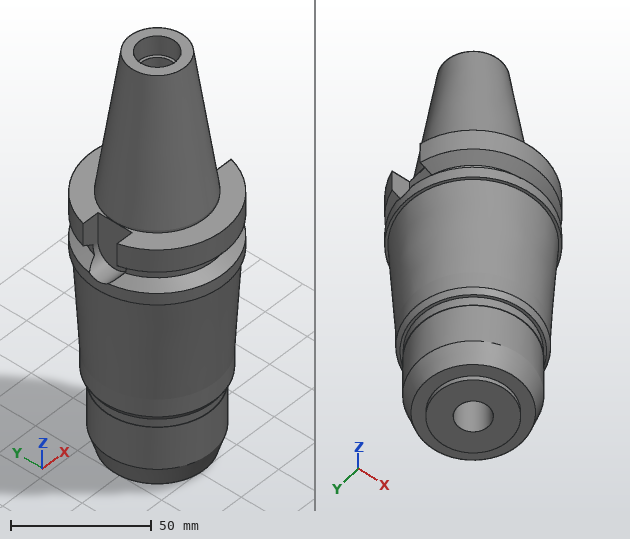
import cadquery as cq

total_height = 187.4
nose_lip_top = 2.2
nose_taper_top = 11.8
neck_bottom = 31.7
body_chamfer_bottom = 36.4
body_chamfer_top = 38.8
body_cone_bottom = 46.8
rim_bottom = 95.2
rim_top = 100.6
groove_bottom = 103.6
groove_top = 107.8
flange_bottom = 110.8
flange_top = 121.2
taper_bottom = 122.2

flange_radius = 31.5
groove_radius = 26.5
shank_large_radius = 22.3
shank_small_radius = 13.0
body_top_radius = 30.4
body_bottom_radius = 27.5
chamfer_bottom_radius = 26.0
neck_radius = 25.0
nose_radius = 25.1
nose_end_radius = 22.1
nose_lip_radius = 16.9

bore_radius = 7.1
counterbore_radius = 8.5
counterbore_depth = 9.0

slot_width = 16.1
slot_floor_distance = 22.5
slot_bottom = 99.3


def turned_body():
    """Revolve the half profile of the tool holder about Z."""
    profile = [
        (0, 0),
        (nose_lip_radius, 0),
        (nose_lip_radius, nose_lip_top),
        (nose_end_radius, nose_lip_top),
        (nose_radius, nose_taper_top),
        (nose_radius, neck_bottom),
        (neck_radius, neck_bottom),
        (neck_radius, body_chamfer_bottom),
        (chamfer_bottom_radius, body_chamfer_bottom),
        (body_bottom_radius, body_chamfer_top),
        (body_bottom_radius, body_cone_bottom),
        (body_top_radius, rim_bottom),
        (flange_radius, rim_bottom),
        (flange_radius, rim_top),
        (groove_radius, groove_bottom),
        (groove_radius, groove_top),
        (flange_radius, flange_bottom),
        (flange_radius, flange_top),
        (shank_large_radius, flange_top),
        (shank_large_radius, taper_bottom),
        (shank_small_radius, total_height),
        (0, total_height),
    ]
    return cq.Workplane("XZ").polyline(profile).close().revolve(360, (0, 0), (0, 1))


def stepped_bore():
    """Through bore with a wider counterbore at the top of the shank."""
    bore = cq.Workplane("XY").circle(bore_radius).extrude(total_height)
    counterbore = (
        cq.Workplane("XY", origin=(0, 0, total_height - counterbore_depth))
        .circle(counterbore_radius)
        .extrude(counterbore_depth)
    )
    return bore.union(counterbore)


def drive_slot(side):
    """Round-bottomed slot, open at the flange top; side is -1 for -X or 1 for +X."""
    half_width = slot_width / 2
    arc_center = slot_bottom + half_width
    return (
        cq.Workplane("YZ", origin=(side * slot_floor_distance, 0, 0))
        .moveTo(-half_width, flange_top)
        .lineTo(-half_width, arc_center)
        .threePointArc((0, slot_bottom), (half_width, arc_center))
        .lineTo(half_width, flange_top)
        .close()
        .extrude(side * flange_radius)
    )


result = turned_body().cut(stepped_bore())
for side in (-1, 1):
    result = result.cut(drive_slot(side))